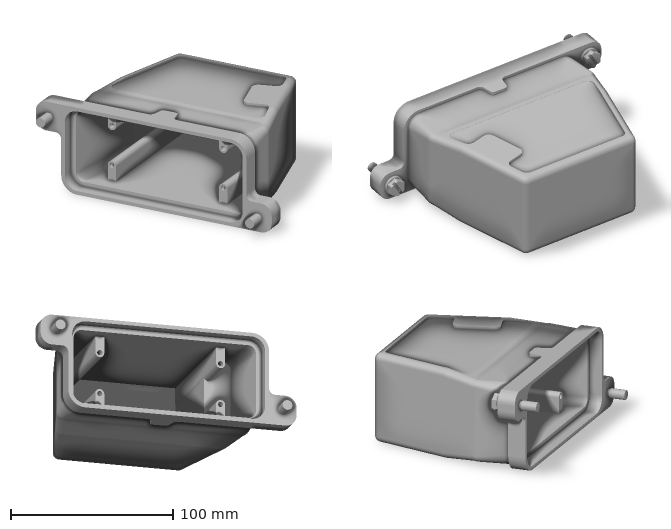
import cadquery as cq
import math


total_width = 165.0
height = 58.0
flange_width = 129.4
flange_depth = 11.5
flange_corner = 10.9
ear_height = 19.3
ear_corner = 7.5
ear_inner_radius = 4.0

hood_end = 110.4
hood_width = 123.6
neck_height = 53.1
neck_base_corner = 8.2
side_bend = 34.6
side_bend_radius = 9.9
side_angle = 15.0
taper_start = 36.3
taper_end = 57.0
hood_edge = 4.1

mouth_width = 124.4
mouth_height = 53.3
mouth_corner = 8.9
mouth_depth = 8.2
cavity_width = 117.5
cavity_height = 47.0
cavity_corner = 5.1
cavity_draft = 8.0
cavity_end = 105.6
cavity_end_x = -40.3
entry_block_x = 36.3
entry_block_y = 45.4

post_x = 39.0
post_z = 13.2
post_width = 5.8
post_front = 18.2
post_hole = 3.3
post_hole_depth = 13.2

panel_depth = 2.0
panel_start = 41.4
panel_end = 105.3
panel_margin = 5.3
panel_corner = 4.3
pad_width = 23.1
pad_start = 28.0
pad_end = 58.0

lug_end = 21.8
lug_top_width = 11.2
lug_base_width = 15.2
lug_corner = 2.0
lug_root_radius = 3.3

screw_x = 73.1
screw_diameter = 6.3
screw_tip = -11.5
groove_diameter = 5.0
groove_depth = 1.0
groove_chamfer = 0.5
washer_diameter = 12.4
washer_thickness = 1.6
head_flats = 9.9
head_thickness = 4.0
slot_width = 2.0
slot_depth = 1.6
hex_half_angle = 30.0

half_height = height / 2
ear_centre_z = half_height - ear_height / 2
side_slope = math.tan(math.radians(side_angle))
bend_length = side_bend_radius * math.tan(math.radians(side_angle / 2))
neck_end = side_bend - bend_length
bend_end = side_bend + bend_length * math.cos(math.radians(side_angle))
bend_middle_x = hood_width / 2 - side_bend_radius * (1 - math.cos(math.radians(side_angle / 2)))
bend_middle_y = neck_end + side_bend_radius * math.sin(math.radians(side_angle / 2))


def hood_half_width(y):
    """Half width of the slanted hood sides at a given Y."""
    return hood_width / 2 - (y - side_bend) * side_slope


def pocket_half_width(y):
    """Half width of the drafted cavity sides at a given Y."""
    return cavity_width / 2 - (y - mouth_depth) * math.tan(math.radians(cavity_draft))


def xz_plane(y):
    """Plane at a given Y whose normal points toward +Y; local x is -X and local y is Z."""
    return cq.Workplane(cq.Plane(origin=(0, y, 0), xDir=(-1, 0, 0), normal=(0, 1, 0)))


def rounded_block(width, block_height, corner, start, end):
    """Block along Y with rounded corners."""
    block = xz_plane(start).rect(width, block_height).extrude(end - start)
    return block.edges("|Y").fillet(corner)


def make_flange():
    """Rounded flange plate with an upper ear at -X and a lower ear at +X."""
    body = rounded_block(flange_width, height, flange_corner, 0, flange_depth)
    ear_length = total_width / 2
    for side in (-1, 1):
        ear = (
            xz_plane(0)
            .center(-side * ear_length / 2, -side * ear_centre_z)
            .rect(ear_length, ear_height)
            .extrude(flange_depth)
        )
        ear_tip = ear.edges("|Y and " + (">X" if side > 0 else "<X"))
        body = body.union(ear_tip.fillet(ear_corner))
        root = (side * flange_width / 2, flange_depth / 2, -side * (half_height - ear_height))
        body = body.edges(cq.NearestToPointSelector(root)).fillet(ear_inner_radius)
    return body


def make_upper_hood():
    """Tapering upper hood, from the end of the straight neck to the closed end."""
    outline = (
        cq.Workplane("XY")
        .moveTo(hood_width / 2, neck_end)
        .threePointArc((bend_middle_x, bend_middle_y), (hood_half_width(bend_end), bend_end))
        .lineTo(hood_half_width(hood_end), hood_end)
        .lineTo(-hood_half_width(hood_end), hood_end)
        .lineTo(-hood_half_width(bend_end), bend_end)
        .threePointArc((-bend_middle_x, bend_middle_y), (-hood_width / 2, neck_end))
        .close()
        .extrude(half_height, both=True)
    )
    profile = (
        cq.Workplane("YZ")
        .polyline([
            (neck_end, neck_height / 2),
            (taper_start, neck_height / 2),
            (taper_end, half_height),
            (hood_end, half_height),
            (hood_end, -half_height),
            (taper_end, -half_height),
            (taper_start, -neck_height / 2),
            (neck_end, -neck_height / 2),
        ])
        .close()
        .extrude(total_width / 2, both=True)
    )
    body = outline.intersect(profile)
    rim = body.faces(">Y").edges().vals()
    corners = []
    for edge in body.edges().vals():
        centre = edge.Center()
        on_symmetry_plane = min(abs(centre.x), abs(centre.z)) < hood_edge
        if not on_symmetry_plane:
            corners.append(edge)
    return body.newObject(rim + corners).fillet(hood_edge)


def make_neck():
    """Straight neck whose corner radius grows from the hood edge radius down to the flange."""
    base = cq.Sketch().rect(hood_width, neck_height).vertices().fillet(neck_base_corner)
    top = cq.Sketch().rect(hood_width, neck_height).vertices().fillet(hood_edge)
    top = top.moved(cq.Location(cq.Vector(0, 0, neck_end - flange_depth)))
    return xz_plane(flange_depth).placeSketch(base, top).loft(ruled=True)


def make_lug():
    """Trapezoidal lug joining the flange to both broad faces of the neck."""
    foot = lug_base_width
    lug = (
        cq.Workplane("XY")
        .polyline([
            (-foot, flange_depth / 2),
            (foot, flange_depth / 2),
            (foot, flange_depth),
            (lug_base_width / 2, flange_depth),
            (lug_top_width / 2, lug_end),
            (-lug_top_width / 2, lug_end),
            (-lug_base_width / 2, flange_depth),
            (-foot, flange_depth),
        ])
        .close()
        .extrude(half_height, both=True)
    )
    for side in (-1, 1):
        crest = (side * lug_top_width / 2, lug_end, 0)
        root = (side * lug_base_width / 2, flange_depth, 0)
        lug = lug.edges(cq.NearestToPointSelector(crest)).fillet(lug_corner)
        lug = lug.edges(cq.NearestToPointSelector(root)).fillet(lug_root_radius)
    return lug


def make_cavity():
    """Drafted pocket cut short by the slanted -X wall, the entry block at +X and the end wall."""
    end_x = pocket_half_width(cavity_end)
    start_x = pocket_half_width(0)
    pocket = (
        cq.Workplane("XY")
        .polyline([(-start_x, 0), (start_x, 0), (end_x, cavity_end), (-end_x, cavity_end)])
        .close()
        .extrude(cavity_height / 2, both=True)
    )
    pocket = pocket.edges("#Z").edges("not(|X)").fillet(cavity_corner)
    slanted_wall_start_x = cavity_end_x - cavity_end * side_slope
    limits = (
        cq.Workplane("XY")
        .polyline([
            (slanted_wall_start_x, 0),
            (start_x, 0),
            (start_x, entry_block_y),
            (entry_block_x, entry_block_y),
            (entry_block_x, cavity_end),
            (cavity_end_x, cavity_end),
        ])
        .close()
        .extrude(cavity_height, both=True)
    )
    return pocket.intersect(limits)


def make_post(side_x, side_z):
    """Post along Y with a rounded inner edge and a blind screw hole, rooted inside the broad wall."""
    length = cavity_end - post_front
    wall_z = (cavity_height + neck_height) / 4
    post = (
        xz_plane(post_front)
        .center(-side_x * post_x, side_z * (post_z + wall_z) / 2)
        .rect(post_width, wall_z - post_z)
        .extrude(length)
    )
    centre = xz_plane(post_front).center(-side_x * post_x, side_z * post_z)
    post = post.union(centre.circle(post_width / 2).extrude(length))
    return post.cut(centre.circle(post_hole / 2).extrude(post_hole_depth))


def make_panel_recess():
    """Sunken panel parallel to the upper face, notched by the raised pad."""
    margin_x = panel_margin / math.cos(math.radians(side_angle))
    start_x = hood_half_width(panel_start) - margin_x
    end_x = hood_half_width(panel_end) - margin_x
    floor_z = half_height - panel_depth
    panel = (
        cq.Workplane("XY", origin=(0, 0, floor_z))
        .polyline([(-start_x, panel_start), (start_x, panel_start), (end_x, panel_end), (-end_x, panel_end)])
        .close()
        .extrude(height)
    )
    pad = (
        cq.Workplane("XY")
        .rect(2 * pad_width, pad_end - pad_start)
        .extrude(height)
        .translate((0, (pad_start + pad_end) / 2, floor_z))
        .rotate((0, 0, 0), (0, 0, 1), side_angle)
        .translate((hood_width / 2, side_bend, 0))
    )
    return panel.cut(pad).edges("|Z").fillet(panel_corner)


def make_screw():
    """Slotted hexagon-head flange screw along the Y axis; the slot runs across two flats."""
    shank = xz_plane(screw_tip).circle(screw_diameter / 2).extrude(-groove_depth - screw_tip)
    shank = shank.faces(">Y").chamfer(groove_chamfer)
    groove = xz_plane(-groove_depth - groove_chamfer).circle(groove_diameter / 2).extrude(flange_depth)
    washer = xz_plane(flange_depth).circle(washer_diameter / 2).extrude(washer_thickness)
    head_base = flange_depth + washer_thickness
    head = xz_plane(head_base).polygon(6, head_flats, circumscribed=True).extrude(head_thickness)
    slot = (
        xz_plane(head_base + head_thickness - slot_depth)
        .transformed(rotate=(0, 0, hex_half_angle))
        .rect(slot_width, washer_diameter)
        .extrude(head_thickness)
    )
    return shank.union(groove).union(washer).union(head).cut(slot)


hood = make_upper_hood().union(make_neck()).cut(make_panel_recess())
shell = make_flange().union(make_lug()).union(hood)
shell = shell.cut(make_cavity())
shell = shell.cut(rounded_block(mouth_width, mouth_height, mouth_corner, 0, mouth_depth))

for post_side in (-1, 1):
    for post_face in (-1, 1):
        shell = shell.union(make_post(post_side, post_face))

for ear_side in (-1, 1):
    shell = shell.union(make_screw().translate((ear_side * screw_x, 0, -ear_side * ear_centre_z)))

result = shell